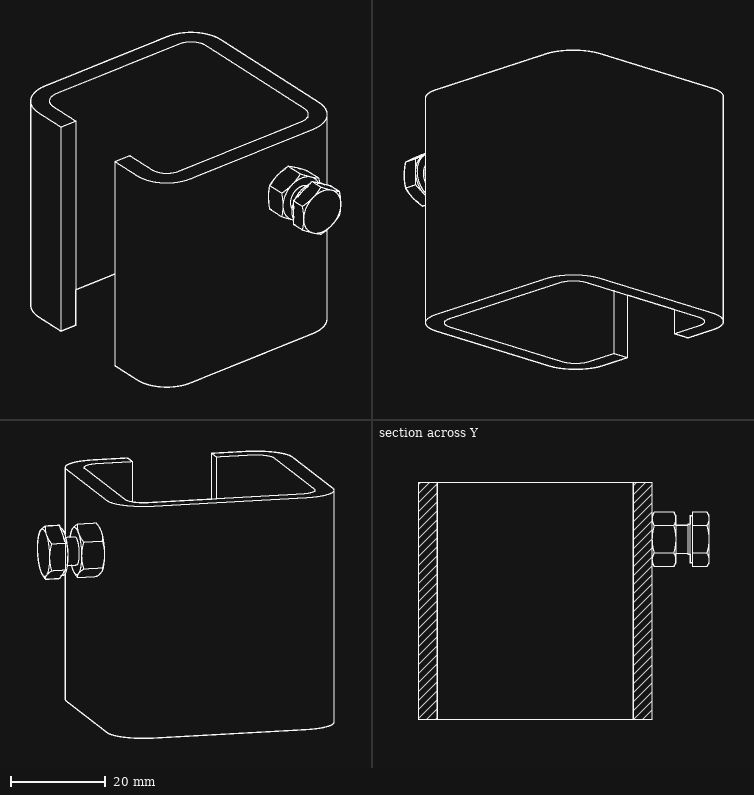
import cadquery as cq
import math

channel_width = 49.3
channel_depth = 49.0
channel_height = 50.0
wall = 4.0
outer_bend_radius = 8.0
inner_bend_radius = outer_bend_radius - wall
slot_width = 18.3

screw_diameter = 6.0
screw_length = 12.0
hex_across_flats = 10.0
nut_height = 5.0
head_height = 4.0
washer_face_thickness = 0.5
collar_diameter = 6.4
collar_length = 0.5
hex_chamfer_angle = 30.0
hex_end_diameter = 10.0
screw_below_top = 12.0
screw_from_back = 15.0

hex_corner_diameter = hex_across_flats / math.cos(math.radians(30))
corner_chamfer_width = (hex_corner_diameter - hex_end_diameter) / 2
corner_chamfer_length = corner_chamfer_width * math.tan(math.radians(hex_chamfer_angle))

outer_wall_x = channel_width / 2
inner_wall_x = outer_wall_x - wall
head_seat_x = inner_wall_x + screw_length
screw_y = channel_depth / 2 - screw_from_back
screw_z = channel_height - screw_below_top


def rounded_block(width, depth, radius):
    """Upright block with rounded vertical edges, centred on the Z axis."""
    return (
        cq.Workplane("XY")
        .rect(width, depth)
        .extrude(channel_height)
        .edges("|Z")
        .fillet(radius)
    )


def make_channel():
    """Square tube with a full-height slot through the front wall."""
    outside = rounded_block(channel_width, channel_depth, outer_bend_radius)
    inside = rounded_block(channel_width - 2 * wall, channel_depth - 2 * wall, inner_bend_radius)
    slot = (
        cq.Workplane("XY")
        .center(0, -channel_depth / 2)
        .rect(slot_width, 2 * wall)
        .extrude(channel_height)
    )
    return outside.cut(inside).cut(slot)


def screw_plane(x):
    """Work plane facing +X, centred on the screw axis."""
    return cq.Workplane("YZ", origin=(x, screw_y, screw_z))


def cylinder(x, diameter, length):
    return screw_plane(x).circle(diameter / 2).extrude(length)


def hexagon(x, length, chamfer_inner_end):
    """Hexagon with corners up and down, its corners trimmed by a turned chamfer."""
    prism = screw_plane(x).polygon(6, hex_corner_diameter).extrude(length)
    prism = prism.rotate((x, screw_y, screw_z), (x + 1, screw_y, screw_z), 90)
    chamfered_ends = "<X or >X" if chamfer_inner_end else ">X"
    turned_blank = (
        cylinder(x, hex_corner_diameter, length)
        .faces(chamfered_ends)
        .edges()
        .chamfer(corner_chamfer_length, corner_chamfer_width)
    )
    return prism.intersect(turned_blank)


def make_nut():
    return hexagon(outer_wall_x, nut_height, True)


def make_screw():
    """Shank ending flush with the inner wall, under-head collar, washer face and hex head."""
    shank = cylinder(inner_wall_x, screw_diameter, screw_length)
    collar = cylinder(head_seat_x - collar_length, collar_diameter, collar_length)
    washer_face = cylinder(head_seat_x, hex_across_flats, washer_face_thickness)
    head = hexagon(head_seat_x + washer_face_thickness, head_height - washer_face_thickness, False)
    return shank.union(collar).union(washer_face).union(head)


result = make_channel().union(make_nut()).union(make_screw())